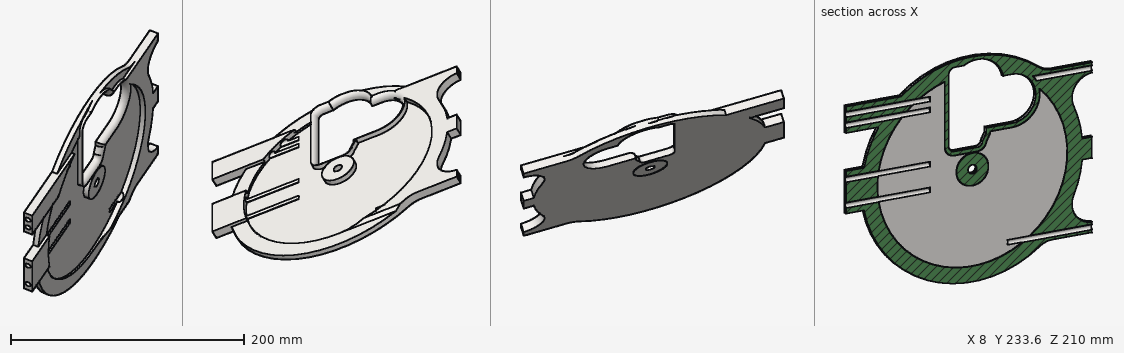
import cadquery as cq
import math

FLOOR = 3.0
FLANGE = 5.0
FULL = 8.0

DISC_R = 105.0
POCKET_R = 90.0
HUB_R = 15.3
BORE_D = 8.0
FACE_RECESS = 0.3

LEFT_Y = 113.6
LEFT_HALF_HEIGHT = 79.3
BLEND_R = 20.0
NOTCH_Z = 49.4
LEFT_TAB_HALF = 10.0
LEFT_HOLE_Z = 74.0
RAISED_FOOT_Z = -90.0
RAISED_FOOT_RISE = 3.5

RIGHT_Y = -120.0
ARM_TOP = 80.0
ARM_BOTTOM = 55.0
RIGHT_TAB_HALF = 20.0
RIGHT_HOLE_Z = (72.5, 62.5, 12.0, -12.0)
HOLE_D = 5.0
HOLE_DEPTH = 80.0

WIN_RIGHT = -22.0
WIN_BOTTOM = 20.0
WIN_TOP = 97.6
WIN_CORNER_R = 5.0
LOBE_Y = 37.3
LOBE_Z = 58.9
LOBE_R = 22.5
BUMP_Y = 4.7
BUMP_Z = 76.1
BUMP_R = 25.0
STEP_Y = 12.7
STEP_Z = 31.5
STEP_FOOT_Y = 9.2
STEP_FOOT_Z = 24.5
RIM_WIDTH = 4.0
FLARE_START = 2.0
FLARE_ROUND = FULL - FLARE_START
LIP_X = 6.5
FOOT_DRAFT = 5.0

RELIEF_Y = 2.7
RELIEF_X = 3.4
RELIEF_MIN_Z = 94.0

FLARE_MARGIN = 5.0


def yz_plane(x):
    """Sketch plane at height x above the front face (local axes Y and Z)."""
    return cq.Workplane("YZ", origin=(x, 0, 0))


def box(x_range, y_range, z_range):
    size = [high - low for low, high in (x_range, y_range, z_range)]
    corner = (x_range[0], y_range[0], z_range[0])
    return cq.Workplane("XY").box(*size, centered=False).translate(corner)


def leg(hypotenuse, side):
    return math.sqrt(hypotenuse ** 2 - side ** 2)


def arc_to(path, center, start, end):
    """Continue the path with the shorter arc about center from start to end."""
    radius = math.dist(center, start)
    mid_y = (start[0] + end[0]) / 2 - center[0]
    mid_z = (start[1] + end[1]) / 2 - center[1]
    scale = radius / math.hypot(mid_y, mid_z)
    return path.threePointArc((center[0] + mid_y * scale, center[1] + mid_z * scale), end)


def mirrored(point):
    return (point[0], -point[1])


def plate_outline():
    """Disc with its arms and tabs, as one closed wire."""
    axis = (0, 0)
    center_distance = DISC_R + BLEND_R
    touch = DISC_R / center_distance

    blend_center = (leg(center_distance, LEFT_HALF_HEIGHT + BLEND_R), LEFT_HALF_HEIGHT + BLEND_R)
    blend_disc = (blend_center[0] * touch, blend_center[1] * touch)
    blend_arm = (blend_center[0], LEFT_HALF_HEIGHT)
    notch_center = (leg(center_distance, NOTCH_Z), NOTCH_Z)
    notch_arm = (LEFT_Y, NOTCH_Z + leg(BLEND_R, notch_center[0] - LEFT_Y))
    notch_tip = (notch_center[0] - BLEND_R, NOTCH_Z)
    notch_disc = (notch_center[0] * touch, notch_center[1] * touch)
    left_tab = (leg(DISC_R, LEFT_TAB_HALF), LEFT_TAB_HALF)

    arm_top = (-leg(DISC_R, ARM_TOP), ARM_TOP)
    arm_bottom = (-leg(DISC_R, ARM_BOTTOM), ARM_BOTTOM)
    right_tab = (-leg(DISC_R, RIGHT_TAB_HALF), RIGHT_TAB_HALF)

    path = yz_plane(0).moveTo(RIGHT_Y, ARM_TOP).lineTo(*arm_top)
    path = arc_to(path, axis, arm_top, blend_disc)
    path = arc_to(path, blend_center, blend_disc, blend_arm)
    path = path.lineTo(LEFT_Y, LEFT_HALF_HEIGHT).lineTo(*notch_arm)
    path = path.threePointArc(notch_tip, notch_disc)
    path = arc_to(path, axis, notch_disc, left_tab)
    path = path.lineTo(LEFT_Y, LEFT_TAB_HALF).lineTo(LEFT_Y, -LEFT_TAB_HALF).lineTo(*mirrored(left_tab))
    path = arc_to(path, axis, mirrored(left_tab), mirrored(notch_disc))
    path = path.threePointArc(mirrored(notch_tip), mirrored(notch_arm))
    path = path.lineTo(LEFT_Y, -LEFT_HALF_HEIGHT).lineTo(*mirrored(blend_arm))
    path = arc_to(path, mirrored(blend_center), mirrored(blend_arm), mirrored(blend_disc))
    path = path.threePointArc((0, -DISC_R), mirrored(right_tab))
    path = path.lineTo(RIGHT_Y, -RIGHT_TAB_HALF).lineTo(RIGHT_Y, RIGHT_TAB_HALF).lineTo(*right_tab)
    path = arc_to(path, axis, right_tab, arm_bottom)
    return path.lineTo(RIGHT_Y, ARM_BOTTOM).close()


def window_outline(x):
    """Window as one closed wire at height x."""
    lobe = (LOBE_Y, LOBE_Z)
    bump = (BUMP_Y, BUMP_Z)
    lobe_top = LOBE_Z + LOBE_R
    bump_left = (BUMP_Y + leg(BUMP_R, lobe_top - BUMP_Z), lobe_top)
    bump_right = (BUMP_Y - leg(BUMP_R, WIN_TOP - BUMP_Z), WIN_TOP)
    foot_r = STEP_FOOT_Z - WIN_BOTTOM
    corner_y = WIN_RIGHT + WIN_CORNER_R
    upper_z = WIN_TOP - WIN_CORNER_R
    lower_z = WIN_BOTTOM + WIN_CORNER_R

    path = yz_plane(x).moveTo(LOBE_Y, lobe_top).lineTo(*bump_left)
    path = arc_to(path, bump, bump_left, bump_right)
    path = path.lineTo(corner_y, WIN_TOP)
    path = arc_to(path, (corner_y, upper_z), (corner_y, WIN_TOP), (WIN_RIGHT, upper_z))
    path = path.lineTo(WIN_RIGHT, lower_z)
    path = arc_to(path, (corner_y, lower_z), (WIN_RIGHT, lower_z), (corner_y, WIN_BOTTOM))
    path = path.lineTo(STEP_FOOT_Y - foot_r, WIN_BOTTOM)
    path = arc_to(
        path,
        (STEP_FOOT_Y - foot_r, STEP_FOOT_Z),
        (STEP_FOOT_Y - foot_r, WIN_BOTTOM),
        (STEP_FOOT_Y, STEP_FOOT_Z),
    )
    path = path.lineTo(STEP_Y, STEP_Z).lineTo(STEP_Y, LOBE_Z - LOBE_R).lineTo(LOBE_Y, LOBE_Z - LOBE_R)
    return path.threePointArc((LOBE_Y + LOBE_R, LOBE_Z), (LOBE_Y, lobe_top)).close()


def raised_left():
    """Full-height left flange: flat at the top, with a sloping lower end."""
    block = (
        cq.Workplane("XZ")
        .moveTo(0, LEFT_HALF_HEIGHT)
        .lineTo(FULL, LEFT_HALF_HEIGHT)
        .lineTo(FULL, RAISED_FOOT_Z + RAISED_FOOT_RISE)
        .lineTo(FLANGE, RAISED_FOOT_Z)
        .lineTo(0, RAISED_FOOT_Z)
        .close()
        .extrude(-LEFT_Y)
    )
    return plate_outline().extrude(FULL).intersect(block)


def raised_right(bottom, top):
    return box((0, FULL), (RIGHT_Y, 0), (bottom, top))


def pocket():
    return yz_plane(FLOOR).circle(POCKET_R).extrude(FULL)


def edge_relief():
    """Cut with a sloping floor that fades out at the right side of the window rim."""
    rim_right = WIN_RIGHT - RIM_WIDTH
    return (
        cq.Workplane("XY", origin=(0, 0, RELIEF_MIN_Z))
        .moveTo(RELIEF_X, RELIEF_Y)
        .lineTo(FULL, RELIEF_Y)
        .lineTo(FULL, rim_right)
        .lineTo(FLANGE, rim_right)
        .close()
        .extrude(DISC_R)
    )


def window_rim():
    """Rim around the window, with a drafted foot below a straight lip."""
    foot_growth = (LIP_X - FLOOR) * math.tan(math.radians(FOOT_DRAFT))
    foot_outline = window_outline(FLOOR).offset2D(RIM_WIDTH + foot_growth)
    foot = foot_outline.extrude(LIP_X - FLOOR, taper=FOOT_DRAFT)
    lip = window_outline(LIP_X).offset2D(RIM_WIDTH).extrude(FULL - LIP_X)
    return foot.union(lip).intersect(yz_plane(0).circle(DISC_R).extrude(FULL))


def window_opening():
    """Opening that is straight at the front and flares out over a rounded edge at the back."""
    opening = window_outline(0).extrude(FULL)
    block = window_outline(0).offset2D(FLARE_ROUND + FLARE_MARGIN).extrude(FULL)
    frame = block.cut(opening)
    inner = min(frame.faces(">X").wires().vals(), key=lambda wire: wire.Length())
    frame = frame.newObject(inner.Edges()).fillet(FLARE_ROUND)
    return block.cut(frame)


def y_hole(start_y, z, depth):
    """Hole along Y at mid-thickness; a negative depth drills towards -Y."""
    direction = math.copysign(1, depth)
    hole = cq.Solid.makeCylinder(
        HOLE_D / 2, abs(depth), cq.Vector(FULL / 2, start_y, z), cq.Vector(0, direction, 0)
    )
    return cq.Workplane(obj=hole)


body = plate_outline().extrude(FLANGE)
body = body.union(raised_left())
body = body.union(raised_right(ARM_BOTTOM, ARM_TOP))
body = body.union(raised_right(-RIGHT_TAB_HALF, RIGHT_TAB_HALF))
body = body.cut(pocket())
body = body.cut(edge_relief())
for hole_z in RIGHT_HOLE_Z:
    body = body.cut(y_hole(RIGHT_Y, hole_z, HOLE_DEPTH))
for hole_z in (LEFT_HOLE_Z, -LEFT_HOLE_Z):
    body = body.cut(y_hole(LEFT_Y, hole_z, -HOLE_DEPTH))

body = body.union(yz_plane(0).circle(HUB_R).extrude(FULL))
body = body.union(window_rim())
body = body.cut(window_opening())
body = body.cut(yz_plane(0).circle(BORE_D / 2).extrude(FULL))
body = body.cut(yz_plane(0).circle(HUB_R).extrude(FACE_RECESS))

result = body